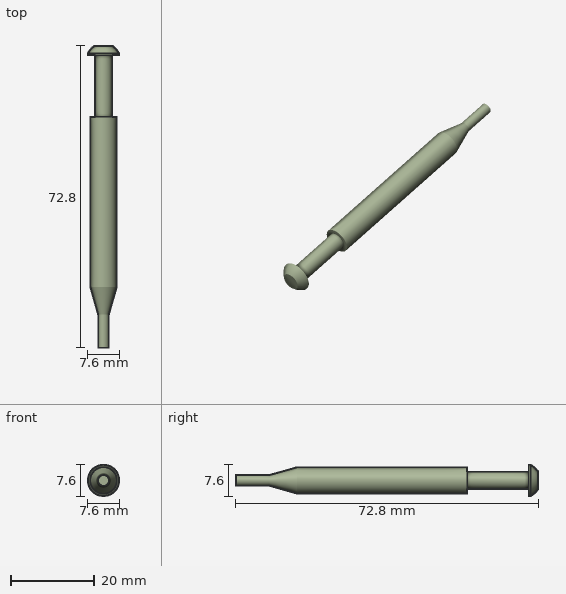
import cadquery as cq

total_length = 72.8

tip_radius = 1.3
tip_length = 8.1
cone_length = 6.6
sleeve_radius = 3.2
sleeve_length = 41.0

shank_radius = 2.1
head_radius = 3.8
head_height = 2.25
rim_height = 0.45
crown_radius = 2.2
dome_bulge = 0.15

cone_end = tip_length + cone_length
sleeve_end = cone_end + sleeve_length
head_start = total_length - head_height
rim_end = head_start + rim_height


def make_barrel():
    """Solid of revolution: tip, cone and sleeve."""
    profile = (
        cq.Workplane("XY")
        .polyline([
            (0, 0),
            (tip_radius, 0),
            (tip_radius, tip_length),
            (sleeve_radius, cone_end),
            (sleeve_radius, sleeve_end),
            (0, sleeve_end),
        ])
        .close()
    )
    return profile.revolve(360, (0, 0), (0, 1))


def make_plunger():
    """Shank standing on the end face of the sleeve, with a domed head."""
    profile = (
        cq.Workplane("XY")
        .moveTo(0, sleeve_end)
        .lineTo(-shank_radius, sleeve_end)
        .lineTo(-shank_radius, head_start)
        .lineTo(-head_radius, head_start)
        .lineTo(-head_radius, rim_end)
        .sagittaArc((-crown_radius, total_length), dome_bulge)
        .lineTo(0, total_length)
        .close()
    )
    return profile.revolve(360, (0, 0), (0, 1))


barrel = make_barrel()
plunger = make_plunger()

result = cq.Compound.makeCompound([barrel.val(), plunger.val()])